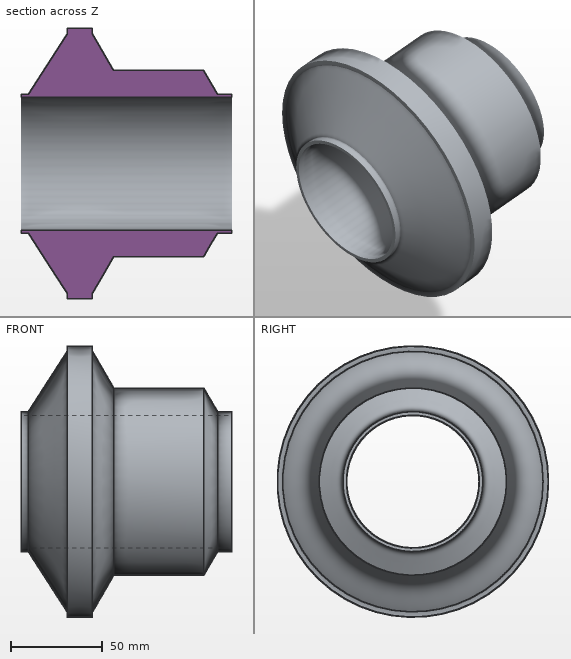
import cadquery as cq

length = 115.0
left_collar_end = 4.0
flange_start = 25.2
flange_end = 38.9
body_start = 50.5
body_end = 99.6
right_collar_start = 107.2

flange_radius = 148 / 2
rim_step = 3.0
cone_radius = flange_radius - rim_step
body_radius = 51.0
collar_radius = 38.2
bore_radius = 36.1

half_section = [
    (0, bore_radius),
    (0, collar_radius),
    (left_collar_end, collar_radius),
    (flange_start, cone_radius),
    (flange_start, flange_radius),
    (flange_end, flange_radius),
    (flange_end, cone_radius),
    (body_start, body_radius),
    (body_end, body_radius),
    (right_collar_start, collar_radius),
    (length, collar_radius),
    (length, bore_radius),
]

result = cq.Workplane("XY").polyline(half_section).close().revolve(360, (0, 0, 0), (1, 0, 0))